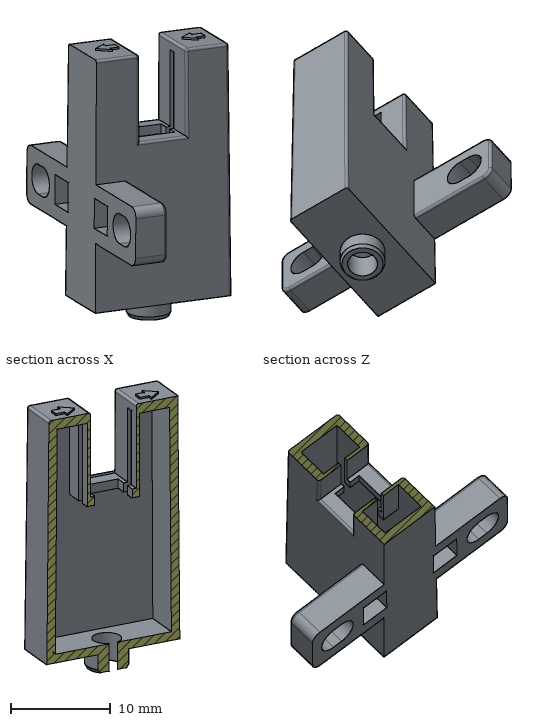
import cadquery as cq
import math

total_height = 28.5

body_width = 7.12
body_depth = 15.08
body_height = 26.3
draft_angle = 0.5
edge_radius = 0.28
draft_slope = math.tan(math.radians(draft_angle))

gap_width = 5.13
gap_depth = 9.1
gap_floor_z = body_height - gap_depth

outer_wall = 1.0
gap_floor_thickness = 1.0
gap_wall = 0.4
cavity_top_z = 25.2

window_width = 3.2
window_depth = 4.22
slit_width = 0.8

boss_diameter = 4.5
boss_length = 2.0
boss_chamfer_height = 0.4
boss_chamfer_inset = 0.2
bore_diameter = 3.0

flange_width = 26.0
flange_height = 6.13
flange_center_z = 10.32
flange_back_y = -4.0
flange_corner_radius = 1.0
long_hole_length = 4.2
long_hole_height = 3.1
long_hole_x = 9.7
pocket_size = 3.1
pocket_depth = 2.0
pocket_x = 4.67

arrow_height = total_height - boss_length - body_height
arrow_shaft_width = 1.0
arrow_shaft_length = 1.0
arrow_head_width = 2.1
arrow_length = 2.35
arrow_tail_ys = (6.0, -3.5)


def front_y(z):
    """Y of the drafted front face at height z."""
    return -body_depth / 2 + z * draft_slope


def box(size_x, y_range, z_range):
    """Block centred on X = 0 that spans the given Y and Z ranges."""
    y_min, y_max = y_range
    z_min, z_max = z_range
    block = cq.Workplane("XY").box(size_x, y_max - y_min, z_max - z_min, centered=(True, False, False))
    return block.translate((0, y_min, z_min))


def is_rounded(edge):
    """All housing edges are rounded but the bottom, front and gap corner ones."""
    center = edge.Center()
    tolerance = 0.015
    on_bottom = center.z < tolerance
    on_front = center.y < front_y(center.z) + tolerance
    on_gap_corner = (
        abs(center.z - gap_floor_z) < tolerance
        and abs(abs(center.y) - gap_width / 2) < tolerance
    )
    return not (on_bottom or on_front or on_gap_corner)


def make_housing():
    block = cq.Workplane("XY").rect(body_width, body_depth).extrude(body_height, taper=draft_angle)
    gap = box(body_width, (-gap_width / 2, gap_width / 2), (gap_floor_z, body_height))
    forked = block.cut(gap)
    return forked.newObject([e for e in forked.edges().vals() if is_rounded(e)]).fillet(edge_radius)


def make_flange():
    bottom_z = flange_center_z - flange_height / 2
    top_z = flange_center_z + flange_height / 2
    plate = (
        cq.Workplane("YZ")
        .moveTo(flange_back_y, bottom_z)
        .lineTo(front_y(bottom_z), bottom_z)
        .lineTo(front_y(top_z), top_z)
        .lineTo(flange_back_y, top_z)
        .close()
        .extrude(flange_width / 2, both=True)
    )
    rounded = plate.faces("<X or >X").edges("<Z or >Z").fillet(flange_corner_radius)
    return rounded.faces(">Y").edges().fillet(edge_radius)


def make_boss():
    outer = cq.Workplane("XY").circle(boss_diameter / 2).extrude(-boss_length)
    return outer.faces("<Z").edges().chamfer(boss_chamfer_height, boss_chamfer_inset)


def make_arrow(tail_y):
    neck_y = tail_y - arrow_shaft_length
    return (
        cq.Workplane("XY", origin=(0, 0, body_height))
        .moveTo(-arrow_shaft_width / 2, tail_y)
        .lineTo(arrow_shaft_width / 2, tail_y)
        .lineTo(arrow_shaft_width / 2, neck_y)
        .lineTo(arrow_head_width / 2, neck_y)
        .lineTo(0, tail_y - arrow_length)
        .lineTo(-arrow_head_width / 2, neck_y)
        .lineTo(-arrow_shaft_width / 2, neck_y)
        .close()
        .extrude(arrow_height)
    )


def make_cavity():
    """Drafted hollow that fills the body and reaches up into both prongs."""
    inset = outer_wall + outer_wall * draft_slope
    hollow = (
        cq.Workplane("XY", origin=(0, 0, outer_wall))
        .rect(body_width - 2 * inset, body_depth - 2 * inset)
        .extrude(cavity_top_z - outer_wall, taper=draft_angle)
    )
    wall_y = gap_width / 2 + gap_wall
    gap_shell = box(body_width, (-wall_y, wall_y), (gap_floor_z - gap_floor_thickness, body_height))
    return hollow.cut(gap_shell)


def make_gap_openings():
    window_z_range = (gap_floor_z - gap_floor_thickness, gap_floor_z)
    window = box(window_width, (-window_depth / 2, window_depth / 2), window_z_range)
    slit_y = gap_width / 2 + gap_wall
    slit = box(slit_width, (-slit_y, slit_y), (window_z_range[0], cavity_top_z))
    return window.union(slit)


def make_flange_openings():
    """Through long holes and blind square pockets, cut from the front."""
    front = cq.Workplane("XZ", origin=(0, -body_depth / 2, flange_center_z))
    long_holes = (
        front.pushPoints([(-long_hole_x, 0), (long_hole_x, 0)])
        .slot2D(long_hole_length, long_hole_height)
        .extrude(-body_depth / 2)
    )
    pockets = (
        front.pushPoints([(-pocket_x, 0), (pocket_x, 0)])
        .rect(pocket_size, pocket_size)
        .extrude(-(front_y(flange_center_z) + body_depth / 2 + pocket_depth))
    )
    return long_holes.union(pockets)


def make_bore():
    """Cable passage through the boss and the housing bottom."""
    bottom = cq.Workplane("XY", origin=(0, 0, -boss_length))
    return bottom.circle(bore_diameter / 2).extrude(boss_length + outer_wall)


result = make_housing().union(make_flange()).union(make_boss())
for tail_y in arrow_tail_ys:
    result = result.union(make_arrow(tail_y))
for opening in (make_cavity(), make_gap_openings(), make_flange_openings(), make_bore()):
    result = result.cut(opening)